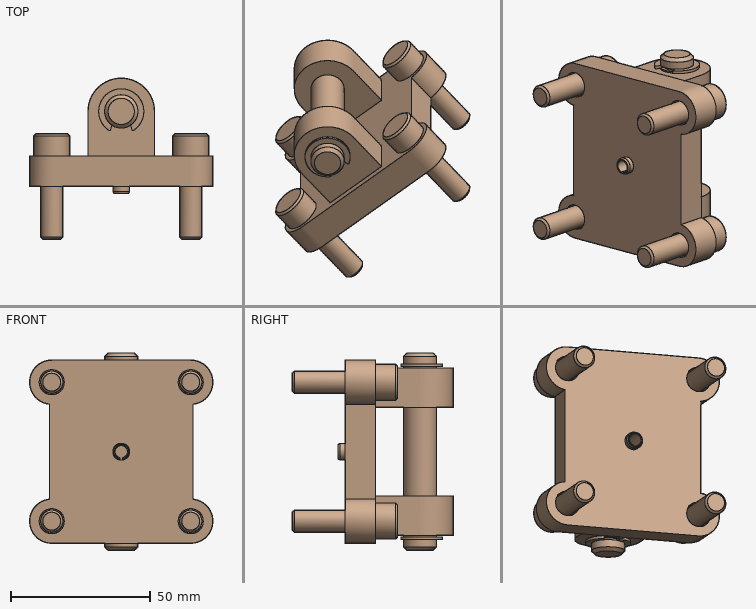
import cadquery as cq
import math

plate_size = 65.95
plate_thickness = 11.0
plate_waist_width = 51.7
screw_spacing = 50.0
corner_offset = screw_spacing / 2
corner_radius = (plate_size - screw_spacing) / 2
screw_hole_diameter = 9.0

lug_radius = 12.0
lug_reach = 28.0
lug_outer_z = 30.1
lug_thickness = 14.2
pivot_y = plate_thickness + lug_reach - lug_radius

pivot_diameter = 12.0
pivot_length = 71.0
pivot_chamfer = 1.3
groove_diameter = 9.0
groove_inner_z = 30.6

ring_thickness = 1.0
ring_outer_diameter = 16.25
ring_gap_width = 6.8
ring_gap_taper = 14.0
ring_corner_radius = 0.4

screw_diameter = 8.0
screw_reach = 19.0
screw_tip_chamfer = 0.8
head_diameter = 13.0
head_height = 7.95
head_chamfer = 0.8

dowel_diameter = 6.0
dowel_bore_diameter = 4.5
dowel_projection = 2.55
dowel_depth = 7.5
dowel_chamfer_length = 0.8
dowel_chamfer_width = 0.35
dowel_slit_width = 1.0

ring_positions = [groove_inner_z, -groove_inner_z - ring_thickness]
corners = [(x, z) for x in (-corner_offset, corner_offset) for z in (-corner_offset, corner_offset)]


def rod_along_y(diameter, start_y, end_y):
    """Cylinder on the Y axis between two Y positions."""
    return cq.Workplane("XZ", origin=(0, start_y, 0)).circle(diameter / 2).extrude(start_y - end_y)


def rod_along_pivot(diameter, start_z, end_z):
    """Cylinder on the pivot axis between two Z positions."""
    return cq.Workplane("XY", origin=(0, pivot_y, start_z)).circle(diameter / 2).extrude(end_z - start_z)


def make_plate():
    """Plate with a narrow waist and a round ear around each corner screw."""
    waist = cq.Workplane("XY").box(
        plate_waist_width, plate_thickness, screw_spacing, centered=(True, False, True)
    )
    bridge = cq.Workplane("XY").box(
        screw_spacing, plate_thickness, plate_size, centered=(True, False, True)
    )
    plate = waist.union(bridge)
    for x, z in corners:
        plate = plate.union(rod_along_y(2 * corner_radius, 0, plate_thickness).translate((x, 0, z)))
    return plate


def make_lug(bottom_z):
    """Round-ended lug that starts on the back face of the plate."""
    return (
        cq.Workplane("XY", origin=(0, 0, bottom_z))
        .moveTo(-lug_radius, plate_thickness)
        .lineTo(-lug_radius, pivot_y)
        .threePointArc((0, pivot_y + lug_radius), (lug_radius, pivot_y))
        .lineTo(lug_radius, plate_thickness)
        .close()
        .extrude(lug_thickness)
    )


def make_housing():
    """Plate and lugs as one body, with the screw, dowel and pivot holes."""
    housing = make_plate()
    for bottom_z in (lug_outer_z - lug_thickness, -lug_outer_z):
        housing = housing.union(make_lug(bottom_z))
    for x, z in corners:
        housing = housing.cut(rod_along_y(screw_hole_diameter, 0, plate_thickness).translate((x, 0, z)))
    housing = housing.cut(rod_along_y(dowel_diameter, 0, dowel_depth))
    return housing.cut(rod_along_pivot(pivot_diameter, -lug_outer_z, lug_outer_z))


def make_pivot_pin():
    """Pin with chamfered ends and two ring grooves."""
    pin = rod_along_pivot(pivot_diameter, -pivot_length / 2, pivot_length / 2)
    pin = pin.faces("<Z or >Z").chamfer(pivot_chamfer)
    for bottom_z in ring_positions:
        top_z = bottom_z + ring_thickness
        groove = rod_along_pivot(pivot_diameter, bottom_z, top_z)
        groove = groove.cut(rod_along_pivot(groove_diameter, bottom_z, top_z))
        pin = pin.cut(groove)
    return pin


def make_ring(bottom_z):
    """Open retaining ring that fills the pin groove and has rounded tips."""
    top_z = bottom_z + ring_thickness
    ring = rod_along_pivot(ring_outer_diameter, bottom_z, top_z)
    ring = ring.cut(rod_along_pivot(groove_diameter, bottom_z, top_z))
    gap_length = ring_outer_diameter / 2
    lean = math.tan(math.radians(ring_gap_taper))
    pin_surface_distance = math.sqrt((pivot_diameter / 2) ** 2 - (ring_gap_width / 2) ** 2)
    axis_half_width = ring_gap_width / 2 - pin_surface_distance * lean
    end_half_width = axis_half_width + gap_length * lean
    gap = (
        cq.Workplane("XY", origin=(0, pivot_y, bottom_z))
        .polyline(
            [
                (-axis_half_width, 0),
                (axis_half_width, 0),
                (end_half_width, -gap_length),
                (-end_half_width, -gap_length),
            ]
        )
        .close()
        .extrude(ring_thickness)
    )
    return ring.cut(gap).edges("|Z and <Y").fillet(ring_corner_radius)


def make_screw(x, z):
    """Cylinder-head screw seated on the back face of the plate."""
    head = rod_along_y(head_diameter, plate_thickness, plate_thickness + head_height)
    head = head.faces(">Y").chamfer(head_chamfer)
    shank = rod_along_y(screw_diameter, -screw_reach, plate_thickness)
    shank = shank.faces("<Y").chamfer(screw_tip_chamfer)
    return head.union(shank).translate((x, 0, z))


def make_dowel():
    """Tube with a slim chamfer around its exposed end and a slit along its underside."""
    dowel = rod_along_y(dowel_diameter, -dowel_projection, dowel_depth)
    dowel = dowel.faces("<Y").edges().chamfer(dowel_chamfer_length, dowel_chamfer_width)
    dowel = dowel.cut(rod_along_y(dowel_bore_diameter, -dowel_projection, dowel_depth))
    slit = cq.Workplane("XY", origin=(0, -dowel_projection, -dowel_diameter / 2)).box(
        dowel_slit_width, dowel_projection + dowel_depth, dowel_diameter / 2, centered=(True, False, False)
    )
    return dowel.cut(slit)


housing = make_housing()
pivot_pin = make_pivot_pin()
rings = [make_ring(bottom_z) for bottom_z in ring_positions]
screws = [make_screw(x, z) for x, z in corners]
dowel = make_dowel()

result = cq.Compound.makeCompound(
    [
        housing.val(),
        pivot_pin.val(),
        *[ring.val() for ring in rings],
        *[screw.val() for screw in screws],
        dowel.val(),
    ]
)